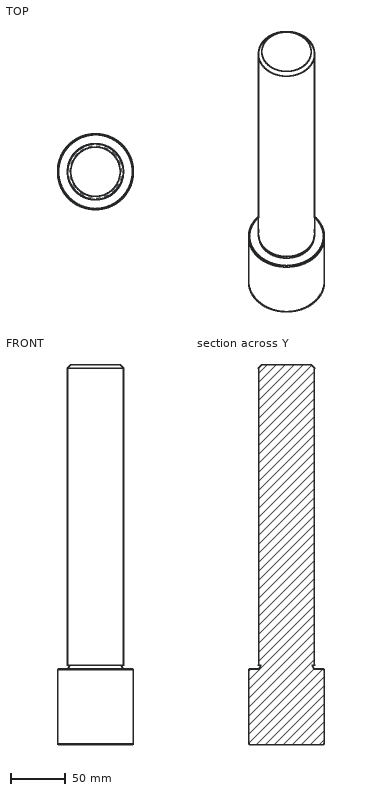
import cadquery as cq

total_height = 350.0
collar_diameter = 70.0
collar_height = 70.0
collar_chamfer = 1.0
shaft_diameter = 51.8
tip_chamfer = 3.0
neck_height = 3.0
neck_top_diameter = 48.0
neck_base_diameter = 50.8

collar_radius = collar_diameter / 2
shaft_radius = shaft_diameter / 2
neck_top_radius = neck_top_diameter / 2
neck_base_radius = neck_base_diameter / 2
neck_top = collar_height + neck_height

profile = (
    cq.Workplane("XZ")
    .lineTo(collar_radius - collar_chamfer, 0)
    .lineTo(collar_radius, collar_chamfer)
    .lineTo(collar_radius, collar_height - collar_chamfer)
    .lineTo(collar_radius - collar_chamfer, collar_height)
    .lineTo(neck_base_radius, collar_height)
    .lineTo(neck_top_radius, neck_top)
    .lineTo(shaft_radius, neck_top)
    .lineTo(shaft_radius, total_height - tip_chamfer)
    .lineTo(shaft_radius - tip_chamfer, total_height)
    .lineTo(0, total_height)
    .close()
)

axis_start = (0, 0, 0)
axis_end = (0, 1, 0)
result = profile.revolve(360, axis_start, axis_end)